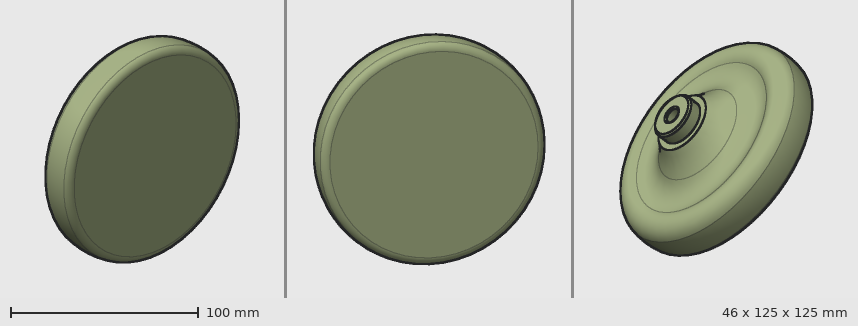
import cadquery as cq
import math

width = 46.0
outer_radius = 62.5

hub_radius = 13.0
hub_length = 8.2
hub_chamfer = 1.1

neck_radius = 17.0
neck_end_x = 20.6
neck_end_radius = 28.0
neck_curve_radius = 42.5
web_end_x = 23.6
web_end_radius = 46.5
web_curve_radius = 17.7

rim_front_x = 22.0
rim_front_radius = 52.1
crown_start_x = 28.9
crown_end_x = 42.7
crown_edge_radius = 61.7
back_radius = 57.2
back_bulge = 0.9

bore_radius = 4.2
bore_mouth_radius = 5.1
bore_depth = 20.0
drill_point_angle = 118.0


def arc_middle(start, end, bulge):
    """Middle of an arc, offset by bulge to the left of the chord from start to end."""
    dx = end[0] - start[0]
    dr = end[1] - start[1]
    chord = math.hypot(dx, dr)
    middle_x = (start[0] + end[0]) / 2 - bulge * dr / chord
    middle_r = (start[1] + end[1]) / 2 + bulge * dx / chord
    return middle_x, middle_r


def hollow_middle(start, end, radius):
    """Middle of an arc of the given radius that dips to the right of its chord."""
    half_chord = math.hypot(end[0] - start[0], end[1] - start[1]) / 2
    bulge = radius - math.sqrt(radius**2 - half_chord**2)
    return arc_middle(start, end, -bulge)


def revolve_about_x(profile):
    return profile.close().revolve(360, (0, 0, 0), (1, 0, 0))


def make_wheel():
    neck_start = (hub_length, neck_radius)
    neck_end = (neck_end_x, neck_end_radius)
    web_end = (web_end_x, web_end_radius)
    crown_start = (crown_start_x, crown_edge_radius)
    crown_top = ((crown_start_x + crown_end_x) / 2, outer_radius)
    crown_end = (crown_end_x, crown_edge_radius)
    back_edge = (width, back_radius)
    profile = (
        cq.Workplane("XY")
        .lineTo(0, hub_radius - hub_chamfer)
        .lineTo(hub_chamfer, hub_radius)
        .lineTo(hub_length, hub_radius)
        .lineTo(*neck_start)
        .threePointArc(hollow_middle(neck_start, neck_end, neck_curve_radius), neck_end)
        .threePointArc(hollow_middle(neck_end, web_end, web_curve_radius), web_end)
        .threePointArc((rim_front_x, rim_front_radius), crown_start)
        .threePointArc(crown_top, crown_end)
        .threePointArc(arc_middle(crown_end, back_edge, back_bulge), back_edge)
        .lineTo(width, 0)
    )
    return revolve_about_x(profile)


def make_bore():
    mouth_chamfer = bore_mouth_radius - bore_radius
    point_length = bore_radius / math.tan(math.radians(drill_point_angle / 2))
    profile = (
        cq.Workplane("XY")
        .lineTo(0, bore_mouth_radius)
        .lineTo(mouth_chamfer, bore_radius)
        .lineTo(bore_depth, bore_radius)
        .lineTo(bore_depth + point_length, 0)
    )
    return revolve_about_x(profile)


result = make_wheel().cut(make_bore())